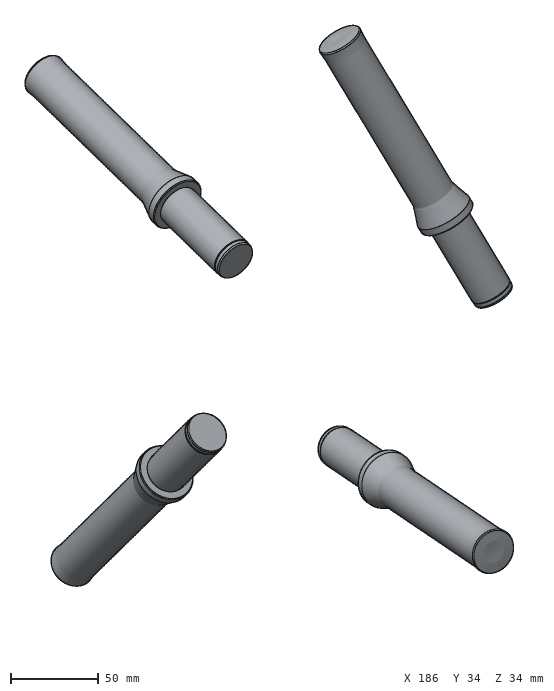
import cadquery as cq

total_length = 186.0

crown_diameter = 13.8
crown_height = 0.4
dimple_depth = 0.4
head_diameter = 27.0
head_edge_diameter = 26.0
head_chamfer_end = 1.3
head_taper_end = 5.8
shaft_start = 7.6
shaft_end = 112.3
cone_start = 113.8
cone_end = 124.6
collar_start = 125.2
collar_end = 130.0
shaft_diameter = 26.0
taper_end_diameter = 26.2
cone_start_diameter = 26.8
cone_end_diameter = 33.7
collar_diameter = 34.0
collar_chamfer = 0.5

shank_diameter = 25.0
reduced_diameter = 24.5
neck_length = 0.7
neck_bevel_length = 1.0
tip_bevel_length = 0.5
tip_length = 3.3
tip_chamfer_length = 1.1
tip_chamfer_depth = 0.4


def revolve_about_x(profile):
    """Turn a closed XY half profile into a solid of revolution around X."""
    return profile.close().revolve(360, (0, 0, 0), (1, 0, 0))


def make_main_body():
    taper_direction = (head_taper_end - head_chamfer_end, (taper_end_diameter - head_diameter) / 2)
    profile = (
        cq.Workplane("XY")
        .moveTo(dimple_depth, 0)
        .lineTo(0, crown_diameter / 2)
        .lineTo(crown_height, head_edge_diameter / 2)
        .lineTo(head_chamfer_end, head_diameter / 2)
        .lineTo(head_taper_end, taper_end_diameter / 2)
        .spline([(shaft_start, shaft_diameter / 2)],
                tangents=[taper_direction, (1, 0)],
                includeCurrent=True)
        .lineTo(shaft_end, shaft_diameter / 2)
        .tangentArcPoint((cone_start, cone_start_diameter / 2), relative=False)
        .lineTo(cone_end, cone_end_diameter / 2)
        .lineTo(collar_start, collar_diameter / 2)
        .lineTo(collar_end - collar_chamfer, collar_diameter / 2)
        .lineTo(collar_end, collar_diameter / 2 - collar_chamfer)
        .lineTo(collar_end, 0)
    )
    return revolve_about_x(profile)


def make_shank():
    shank_radius = shank_diameter / 2
    reduced_radius = reduced_diameter / 2
    neck_end = collar_end + neck_length
    tip_start = total_length - tip_length
    profile = (
        cq.Workplane("XY")
        .moveTo(collar_end, 0)
        .lineTo(collar_end, reduced_radius)
        .lineTo(neck_end, reduced_radius)
        .lineTo(neck_end + neck_bevel_length, shank_radius)
        .lineTo(tip_start - tip_bevel_length, shank_radius)
        .lineTo(tip_start, reduced_radius)
        .lineTo(total_length - tip_chamfer_length, reduced_radius)
        .lineTo(total_length, reduced_radius - tip_chamfer_depth)
        .lineTo(total_length, 0)
    )
    return revolve_about_x(profile)


main_body = make_main_body()
shank = make_shank()
result = cq.Compound.makeCompound([main_body.val(), shank.val()])